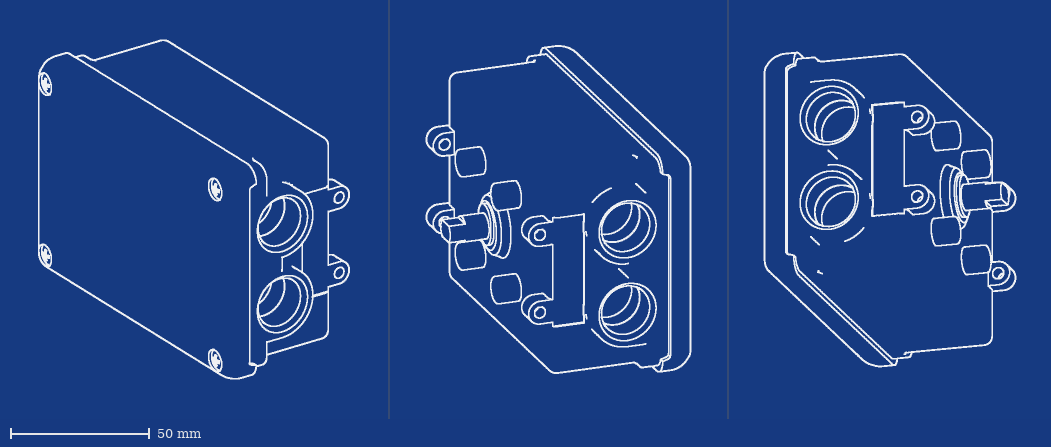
import cadquery as cq
import math


COVER_WIDTH = 124.0
COVER_HEIGHT = 84.0
COVER_DEPTH = 12.5
COVER_CORNER_RADIUS = 6.0
CROWN_DEPTH = 7.8
CROWN_RADIUS = 9.4
CROWN_EDGE_RADIUS = 2.3
NOTCH_OPENING = 72.4
NOTCH_FLOOR = 70.4
NOTCH_CORNER_RADIUS = 1.5

RIM_WIDTH = 120.0
RIM_HEIGHT = 80.0
RIM_FRONT = 9.5
RIM_BACK = 18.7
RIM_CORNER_RADIUS = 5.2
BOX_WIDTH = 105.0
BOX_BACK = 52.1
BOX_EDGE_RADIUS = 3.0
BACK_EDGE_RADIUS = 3.2
ROOT_RADIUS = 0.6
LEDGE_EDGE_RADIUS = 0.4

ENTRY_Y = 25.3
ENTRY_PITCH = 32.0
ENTRY_BOSS_RADIUS = 13.5
ENTRY_HOLE_DIAMETER = 18.6
ENTRY_MOUTH_DIAMETER = 22.0
ENTRY_CHAMFER_DEPTH = 2.0
ENTRY_STEP_DIAMETER = 18.4
ENTRY_STEP_DEPTH = 12.0
ENTRY_DEPTH = 20.0
WEB_BACK = 25.3

LUG_BACK = 60.3
LUG_PITCH = 30.0
LUG_RADIUS = 4.4
LUG_THICKNESS = 7.0
LUG_HOLE_DIAMETER = 4.2
LUG_FACE_X = 51.7
PAD_FRONT = 39.1
PAD_HEIGHT = 42.0

POST_DIAMETER = 10.0
POST_PITCH = 36.0
POST_EDGE_RADIUS = 0.6

SHAFT_DIAMETER = 9.5
SHAFT_END = 72.62
SHAFT_FLAT_LENGTH = 6.3
SHAFT_FLAT_THICKNESS = 6.4
FLANGE_RADIUS = 12.4
FLANGE_THICKNESS = 0.6
DOME_BASE_RADIUS = 12.0
DOME_SHOULDER_RADIUS = 10.9
DOME_SHOULDER_Y = 55.2
DOME_TOP_RADIUS = 9.0
DOME_TOP_Y = 56.4
WASHER_RADIUS = 6.4
WASHER_THICKNESS = 1.2
WASHER_TOP_Z = 8.26
WASHER_BOTTOM_Z = -7.14

SCREW_PITCH_X = 107.7
SCREW_PITCH_Z = 68.2
HEAD_RADIUS = 4.1
HEAD_CROWN_RADIUS = 3.3
HEAD_SEAT_Y = 2.5
HEAD_SIDE_Y = 1.4
HEAD_SHOULDER_Y = 0.8
HEAD_TOP_Y = 0.0
CROSS_WIDTH = 5.0
CROSS_THICKNESS = 0.9
CROSS_DEPTH = 2.3

ROOT_OVERLAP = 0.5

SIDES = (-1, 1)


def plane_at(y):
    """Work plane across the Y axis, with local axes X and Z."""
    return cq.Workplane("XZ", origin=(0, y, 0))


def block(width, height, y_start, y_end):
    """Block centred on the Y axis."""
    return plane_at(y_start).rect(width, height).extrude(y_start - y_end)


def end_plane(x):
    """Work plane across the X axis, with local axes Y and Z."""
    return cq.Workplane("YZ", origin=(x, 0, 0))


def screw_places():
    return plane_at(0).rect(SCREW_PITCH_X, SCREW_PITCH_Z, forConstruction=True).vertices().vals()



def crowned_prism(plane, span, length):
    """Prism whose section has straight sides and arcs that narrow toward the front."""
    half = span / 2
    rise = math.sqrt(CROWN_RADIUS**2 - CROWN_DEPTH**2)
    front_half = half - CROWN_RADIUS + rise
    half_angle = math.asin(CROWN_DEPTH / CROWN_RADIUS) / 2
    mid_half = half - CROWN_RADIUS * (1 - math.cos(half_angle))
    mid_y = CROWN_DEPTH - CROWN_RADIUS * math.sin(half_angle)
    return (
        cq.Workplane(plane)
        .moveTo(-front_half, 0)
        .lineTo(front_half, 0)
        .threePointArc((mid_half, mid_y), (half, CROWN_DEPTH))
        .lineTo(half, COVER_DEPTH)
        .lineTo(-half, COVER_DEPTH)
        .lineTo(-half, CROWN_DEPTH)
        .threePointArc((-mid_half, mid_y), (-front_half, 0))
        .close()
        .extrude(length / 2, both=True)
    )


def skirt_notch():
    """Tapered cut through the skirt on both ends, open toward the back."""
    return (
        end_plane(0)
        .polyline([
            (RIM_FRONT, -NOTCH_FLOOR / 2),
            (RIM_FRONT, NOTCH_FLOOR / 2),
            (COVER_DEPTH, NOTCH_OPENING / 2),
            (COVER_DEPTH, -NOTCH_OPENING / 2),
        ])
        .close()
        .extrude(COVER_WIDTH / 2, both=True)
        .edges("|X and <Y")
        .fillet(NOTCH_CORNER_RADIUS)
    )


def rim_block(y_start, y_end):
    return block(RIM_WIDTH, RIM_HEIGHT, y_start, y_end).edges("|Y").fillet(RIM_CORNER_RADIUS)


def make_cover():
    side_plane = cq.Plane(origin=(0, 0, 0), xDir=(0, 0, 1), normal=(-1, 0, 0))
    cover = crowned_prism(cq.Plane.XY(), COVER_WIDTH, COVER_HEIGHT)
    cover = cover.intersect(crowned_prism(side_plane, COVER_HEIGHT, COVER_WIDTH))
    cover = cover.edges("not (|X or |Z)").fillet(COVER_CORNER_RADIUS)
    cover = cover.faces("<Y").edges().fillet(CROWN_EDGE_RADIUS)
    cover = cover.cut(rim_block(RIM_FRONT, COVER_DEPTH))
    cover = cover.cut(skirt_notch())
    for place in screw_places():
        seat = plane_at(0).center(place.X, place.Z).circle(HEAD_RADIUS).extrude(-HEAD_SEAT_Y)
        cover = cover.cut(seat)
    return cover



def root_section(x_dir, y_dir, corner):
    """Concave fillet section in the corner where two faces meet.

    x_dir and y_dir point along the faces, away from the corner.
    """
    plane = cq.Plane(origin=corner, xDir=x_dir, normal=cq.Vector(*x_dir).cross(cq.Vector(*y_dir)))
    bulge = ROOT_RADIUS * (1 - math.sqrt(0.5))
    return (
        cq.Workplane(plane)
        .moveTo(-ROOT_OVERLAP, -ROOT_OVERLAP)
        .lineTo(ROOT_RADIUS, -ROOT_OVERLAP)
        .lineTo(ROOT_RADIUS, 0)
        .threePointArc((bulge, bulge), (0, ROOT_RADIUS))
        .lineTo(-ROOT_OVERLAP, ROOT_RADIUS)
        .close()
    )


def outer_face(side):
    """Selector of the face that looks away from the middle of the box."""
    return ">X" if side > 0 else "<X"


def ledge_blend(side, y, half_length):
    """Blend between a ledge that faces the back and the box end."""
    section = root_section((side, 0, 0), (0, 1, 0), (side * BOX_WIDTH / 2, y, 0))
    return section.extrude(half_length, both=True)


def corner_blend(side, z_side):
    """Blend between the rim and a rounded corner of the box."""
    axis_x = side * (BOX_WIDTH / 2 - BOX_EDGE_RADIUS)
    axis_z = z_side * (RIM_HEIGHT / 2 - BOX_EDGE_RADIUS)
    section = root_section((side, 0, 0), (0, 1, 0), (side * BOX_WIDTH / 2, RIM_BACK, axis_z))
    ring = section.revolve(360, (-BOX_EDGE_RADIUS, 0), (-BOX_EDGE_RADIUS, 1))
    reach = BOX_EDGE_RADIUS + ROOT_RADIUS
    quarter = (
        plane_at(RIM_BACK - ROOT_OVERLAP)
        .center(axis_x + side * reach / 2, axis_z + z_side * BOX_EDGE_RADIUS / 2)
        .rect(reach, BOX_EDGE_RADIUS)
        .extrude(-ROOT_OVERLAP - ROOT_RADIUS)
    )
    return ring.intersect(quarter)


def entry_boss(side, z_side):
    """Round-topped boss that stands on the rim, blended into the box end."""
    wall_x = side * BOX_WIDTH / 2
    boss_z = z_side * ENTRY_PITCH / 2
    height = (RIM_WIDTH - BOX_WIDTH) / 2
    foot_length = ENTRY_Y - RIM_FRONT
    axis = end_plane(wall_x).center(ENTRY_Y, boss_z)
    boss = axis.circle(ENTRY_BOSS_RADIUS).extrude(side * height)
    foot = (
        axis.center(-foot_length / 2, 0)
        .rect(foot_length, 2 * ENTRY_BOSS_RADIUS)
        .extrude(side * height)
    )
    boss = boss.union(foot)
    outer_edges = boss.faces(outer_face(side)).edges("not <Y")
    boss = outer_edges.fillet(LEDGE_EDGE_RADIUS)
    flare_corner = (wall_x, ENTRY_Y + ENTRY_BOSS_RADIUS, boss_z)
    flare = root_section((side, 0, 0), (0, 1, 0), flare_corner)
    flare = flare.revolve(360, (0, -ENTRY_BOSS_RADIUS), (1, -ENTRY_BOSS_RADIUS))
    side_corner = (wall_x, ENTRY_Y, boss_z + z_side * ENTRY_BOSS_RADIUS)
    side_section = root_section((side, 0, 0), (0, 0, z_side), side_corner)
    side_blend = side_section.extrude(side * z_side * (ENTRY_Y - RIM_BACK))
    return boss.union(flare).union(side_blend)


def entry_web(side):
    """Low web that joins the two bosses of one end."""
    width = ENTRY_PITCH - 2 * ENTRY_BOSS_RADIUS + 2 * ROOT_OVERLAP
    web = (
        end_plane(side * BOX_WIDTH / 2)
        .center((RIM_FRONT + WEB_BACK) / 2, 0)
        .rect(WEB_BACK - RIM_FRONT, width)
        .extrude(side * (RIM_WIDTH - BOX_WIDTH) / 2)
    )
    web = web.faces(outer_face(side)).edges(">Y").fillet(LEDGE_EDGE_RADIUS)
    return web.union(ledge_blend(side, WEB_BACK, width / 2))


def end_flat(side):
    """Shallow cut in the box end, level with the lug faces."""
    length = BOX_BACK - PAD_FRONT
    return (
        end_plane(side * LUG_FACE_X)
        .center(PAD_FRONT + length / 2, 0)
        .rect(length, PAD_HEIGHT)
        .extrude(side * (BOX_WIDTH / 2 - LUG_FACE_X))
    )


def end_lug(side, z_side):
    """Rounded lug level with the end flat, with a cross hole through its eye."""
    eye_y = LUG_BACK - LUG_RADIUS
    bar_length = eye_y - PAD_FRONT
    axis = end_plane(side * LUG_FACE_X).center(eye_y, z_side * LUG_PITCH / 2)
    bar = (
        axis.center(-bar_length / 2, 0)
        .rect(bar_length, 2 * LUG_RADIUS)
        .extrude(-side * LUG_THICKNESS)
    )
    eye = axis.circle(LUG_RADIUS).extrude(-side * LUG_THICKNESS)
    hole = axis.circle(LUG_HOLE_DIAMETER / 2).extrude(-side * LUG_THICKNESS)
    return bar.union(eye).cut(hole)


def entry_hole(side, z_side):
    """Blind cable entry with a conical mouth and a small step inside."""
    axis_plane = cq.Plane(
        origin=(side * RIM_WIDTH / 2, ENTRY_Y, z_side * ENTRY_PITCH / 2),
        xDir=(0, 0, side),
        normal=(0, 1, 0),
    )
    section = [
        (0, 0),
        (ENTRY_MOUTH_DIAMETER / 2, 0),
        (ENTRY_HOLE_DIAMETER / 2, -ENTRY_CHAMFER_DEPTH),
        (ENTRY_HOLE_DIAMETER / 2, -ENTRY_STEP_DEPTH),
        (ENTRY_STEP_DIAMETER / 2, -ENTRY_STEP_DEPTH),
        (ENTRY_STEP_DIAMETER / 2, -ENTRY_DEPTH),
        (0, -ENTRY_DEPTH),
    ]
    return cq.Workplane(axis_plane).polyline(section).close().revolve(360, (0, 0), (0, 1))


def make_posts():
    return (
        plane_at(BOX_BACK)
        .rect(POST_PITCH, POST_PITCH, forConstruction=True)
        .vertices()
        .circle(POST_DIAMETER / 2)
        .extrude(BOX_BACK - LUG_BACK)
        .faces(">Y")
        .edges()
        .fillet(POST_EDGE_RADIUS)
    )


def make_housing():
    box = block(BOX_WIDTH, RIM_HEIGHT, RIM_FRONT, BOX_BACK)
    box = box.edges("|Y").fillet(BOX_EDGE_RADIUS)
    box = box.faces(">Y").edges().fillet(BACK_EDGE_RADIUS)
    rim = rim_block(RIM_FRONT, RIM_BACK).faces(">Y").edges().fillet(LEDGE_EDGE_RADIUS)
    housing = box.union(rim)
    for side in SIDES:
        housing = housing.union(ledge_blend(side, RIM_BACK, RIM_HEIGHT / 2 - BOX_EDGE_RADIUS))
        housing = housing.union(entry_web(side))
        housing = housing.cut(end_flat(side))
        for z_side in SIDES:
            housing = housing.union(corner_blend(side, z_side))
            housing = housing.union(entry_boss(side, z_side))
            housing = housing.union(end_lug(side, z_side))
            housing = housing.cut(entry_hole(side, z_side))
    return housing.union(make_posts())



def make_shaft():
    """Round shaft with two flats at its tip."""
    shaft = plane_at(BOX_BACK).circle(SHAFT_DIAMETER / 2).extrude(BOX_BACK - SHAFT_END)
    flat_start = SHAFT_END - SHAFT_FLAT_LENGTH
    tip = block(SHAFT_DIAMETER, SHAFT_DIAMETER, flat_start, SHAFT_END)
    tongue = block(SHAFT_DIAMETER, SHAFT_FLAT_THICKNESS, flat_start, SHAFT_END)
    return shaft.cut(tip.cut(tongue))


def make_bearing():
    """Domed bearing on the box back, bored for the shaft."""
    bore = SHAFT_DIAMETER / 2
    return (
        cq.Workplane("XY")
        .polyline([
            (bore, BOX_BACK),
            (FLANGE_RADIUS, BOX_BACK),
            (DOME_BASE_RADIUS, BOX_BACK + FLANGE_THICKNESS),
            (DOME_SHOULDER_RADIUS, DOME_SHOULDER_Y),
            (DOME_TOP_RADIUS, DOME_TOP_Y),
            (bore, DOME_TOP_Y),
        ])
        .close()
        .revolve(360, (0, 0), (0, 1))
    )


def make_washer():
    """Oval washer around the shaft, offset toward +Z."""
    top_centre = WASHER_TOP_Z - WASHER_RADIUS
    bottom_centre = WASHER_BOTTOM_Z + WASHER_RADIUS
    return (
        plane_at(DOME_TOP_Y)
        .moveTo(-WASHER_RADIUS, bottom_centre)
        .lineTo(-WASHER_RADIUS, top_centre)
        .threePointArc((0, WASHER_TOP_Z), (WASHER_RADIUS, top_centre))
        .lineTo(WASHER_RADIUS, bottom_centre)
        .threePointArc((0, WASHER_BOTTOM_Z), (-WASHER_RADIUS, bottom_centre))
        .close()
        .moveTo(0, 0)
        .circle(SHAFT_DIAMETER / 2)
        .extrude(-WASHER_THICKNESS)
    )



def make_screw(x, z):
    """Oval-headed screw with a cross recess that tapers to a point."""
    crown_mid_y = HEAD_TOP_Y + (HEAD_SHOULDER_Y - HEAD_TOP_Y) / 4
    head = (
        cq.Workplane("XY")
        .moveTo(0, HEAD_SEAT_Y)
        .lineTo(HEAD_RADIUS, HEAD_SEAT_Y)
        .lineTo(HEAD_RADIUS, HEAD_SIDE_Y)
        .lineTo(HEAD_CROWN_RADIUS, HEAD_SHOULDER_Y)
        .threePointArc((HEAD_CROWN_RADIUS / 2, crown_mid_y), (0, HEAD_TOP_Y))
        .close()
        .revolve(360, (0, 0), (0, 1))
    )
    blade = (
        cq.Workplane("XY")
        .polyline([(-CROSS_WIDTH / 2, 0), (CROSS_WIDTH / 2, 0), (0, CROSS_DEPTH)])
        .close()
        .extrude(CROSS_THICKNESS / 2, both=True)
    )
    for angle in (0, 90):
        head = head.cut(blade.rotate((0, 0, 0), (0, 1, 0), angle))
    return head.translate((x, 0, z))


cover = make_cover()
housing = make_housing()
shaft = make_shaft()
bearing = make_bearing()
washer = make_washer()
screws = [make_screw(place.X, place.Z) for place in screw_places()]

result = cq.Compound.makeCompound([
    cover.val(),
    housing.val(),
    shaft.val(),
    bearing.val(),
    washer.val(),
    *[screw.val() for screw in screws],
])